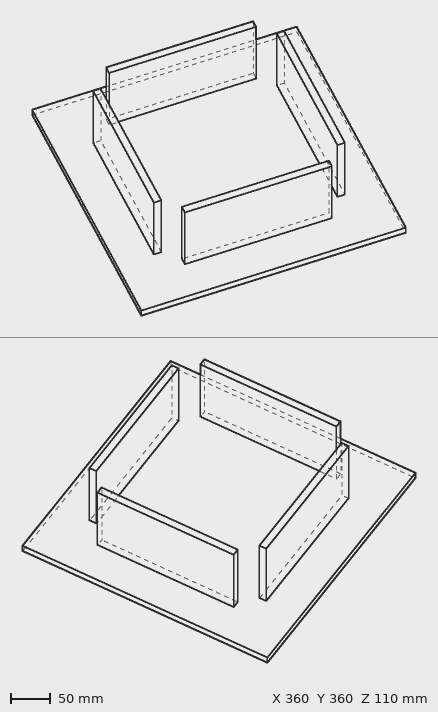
import cadquery as cq

plate_side = 360.0
sheet_thickness = 10.0
wall_length = 200.0
wall_height = 100.0
wall_outer_offset = 130.0
wall_count = 4

wall_centre_offset = wall_outer_offset - sheet_thickness / 2


def make_base_plate():
    """Square plate resting on Z = 0, centred on the Z axis."""
    return cq.Workplane("XY").box(
        plate_side, plate_side, sheet_thickness, centered=(True, True, False)
    )


def make_wall(angle):
    """Upright wall on the plate, turned by angle about Z from the +X side."""
    wall = cq.Workplane("XY").box(
        sheet_thickness, wall_length, wall_height, centered=(True, True, False)
    )
    wall = wall.translate((wall_centre_offset, 0, sheet_thickness))
    return wall.rotate((0, 0, 0), (0, 0, 1), angle)


base_plate = make_base_plate()

walls = [make_wall(i * 360 / wall_count) for i in range(wall_count)]

result = cq.Compound.makeCompound([base_plate.val(), *[wall.val() for wall in walls]])